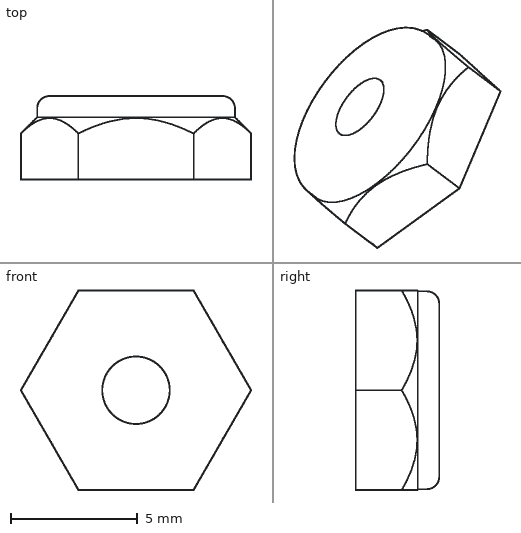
import cadquery as cq

across_corners = 9.09
total_height = 3.3
hex_height = 2.45
collar_radius = 3.91
collar_rounding = 0.49
bore_diameter = 2.65

corner_radius = across_corners / 2
corner_height = hex_height - (corner_radius - collar_radius)


def hexagonal_body():
    """Hexagonal prism with two corners on the X axis."""
    return cq.Workplane("XZ").polygon(6, across_corners).extrude(-total_height)


def turned_envelope():
    """Solid of revolution that cuts the chamfer and the rounded collar from the prism."""
    return (
        cq.Workplane("XY")
        .lineTo(corner_radius, 0)
        .lineTo(corner_radius, corner_height)
        .lineTo(collar_radius, hex_height)
        .lineTo(collar_radius, total_height - collar_rounding)
        .radiusArc((collar_radius - collar_rounding, total_height), -collar_rounding)
        .lineTo(0, total_height)
        .close()
        .revolve(360, (0, 0, 0), (0, 1, 0))
    )


def bore():
    return cq.Workplane("XZ").circle(bore_diameter / 2).extrude(-total_height)


result = hexagonal_body().intersect(turned_envelope()).cut(bore())